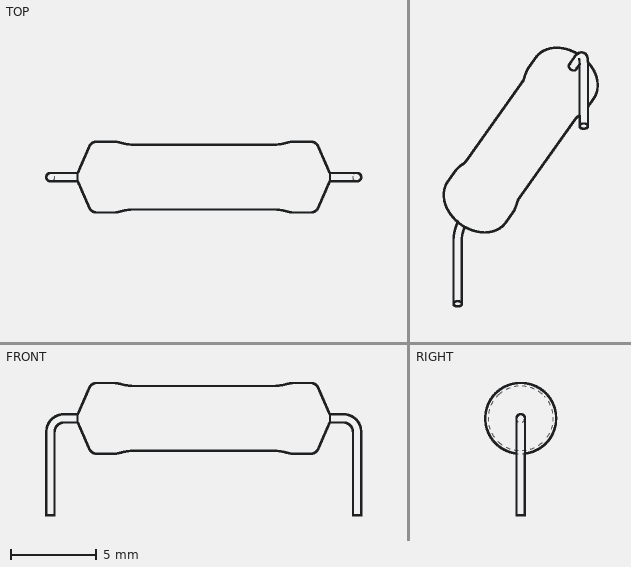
import cadquery as cq
import math

overall_length = 18.5
body_diameter = 4.18
lead_drop = 5.7

lead_diameter = 0.5
lead_radius = lead_diameter / 2
bend_radius = 0.8
lead_x = overall_length / 2 - lead_radius

body_radius = body_diameter / 2
body_half_length = 7.4
waist_radius = 1.9
waist_half_length = 4.05
neck_inflection_x = 4.94
cap_start_x = 5.27
cap_rim_x = 6.27
shoulder_radius = 0.5

neck_length = cap_start_x - waist_half_length
neck_angle = 2 * math.atan((body_radius - waist_radius) / neck_length)
hollow_radius = (neck_inflection_x - waist_half_length) / math.sin(neck_angle)
round_radius = (cap_start_x - neck_inflection_x) / math.sin(neck_angle)

shoulder_centre_r = body_radius - shoulder_radius
axial_to_tip = body_half_length - cap_rim_x
radial_to_tip = lead_radius - shoulder_centre_r
tip_distance = math.hypot(axial_to_tip, radial_to_tip)
tangent_angle = math.atan2(radial_to_tip, axial_to_tip) + math.acos(shoulder_radius / tip_distance)


def point_on_arc(centre, radius, angle):
    """Point at an angle, in radians from +X, on a circle in the profile plane."""
    return (centre[0] + radius * math.cos(angle), centre[1] + radius * math.sin(angle))


def make_body_end():
    """Revolve the +X end of the body: neck, cap, rounded shoulder and end cone."""
    hollow_centre = (waist_half_length, waist_radius + hollow_radius)
    round_centre = (cap_start_x, body_radius - round_radius)
    shoulder_centre = (cap_rim_x, shoulder_centre_r)
    quarter_turn = math.pi / 2
    shoulder_middle = (quarter_turn + tangent_angle) / 2

    profile = (
        cq.Workplane("XY")
        .moveTo(waist_half_length, 0)
        .lineTo(waist_half_length, waist_radius)
        .threePointArc(
            point_on_arc(hollow_centre, hollow_radius, -quarter_turn + neck_angle / 2),
            point_on_arc(hollow_centre, hollow_radius, -quarter_turn + neck_angle),
        )
        .threePointArc(
            point_on_arc(round_centre, round_radius, quarter_turn + neck_angle / 2),
            (cap_start_x, body_radius),
        )
        .lineTo(cap_rim_x, body_radius)
        .threePointArc(
            point_on_arc(shoulder_centre, shoulder_radius, shoulder_middle),
            point_on_arc(shoulder_centre, shoulder_radius, tangent_angle),
        )
        .lineTo(body_half_length, lead_radius)
        .lineTo(body_half_length, 0)
        .close()
    )
    return profile.revolve(360, (0, 0, 0), (1, 0, 0))


def make_body():
    """Join the cylindrical waist and the two mirrored ends into one solid."""
    waist_start = cq.Workplane("YZ", origin=(-waist_half_length, 0, 0))
    waist = waist_start.circle(waist_radius).extrude(2 * waist_half_length)
    end = make_body_end()
    return waist.union(end).union(end.mirror("YZ"))


def make_lead(side):
    """Sweep a bent wire from the body end down to its tip; side is +1 or -1 along X."""
    bend_start_x = lead_x - bend_radius
    bend_middle = point_on_arc((bend_start_x, -bend_radius), bend_radius, math.pi / 4)
    path = (
        cq.Workplane("XZ")
        .moveTo(side * body_half_length, 0)
        .lineTo(side * bend_start_x, 0)
        .threePointArc((side * bend_middle[0], bend_middle[1]), (side * lead_x, -bend_radius))
        .lineTo(side * lead_x, -lead_drop)
    )
    body_end = cq.Workplane("YZ", origin=(side * body_half_length, 0, 0))
    return body_end.circle(lead_radius).sweep(path)


body = make_body()
leads = [make_lead(side) for side in (-1, 1)]

result = cq.Compound.makeCompound([body.solids().val(), *[lead.val() for lead in leads]])